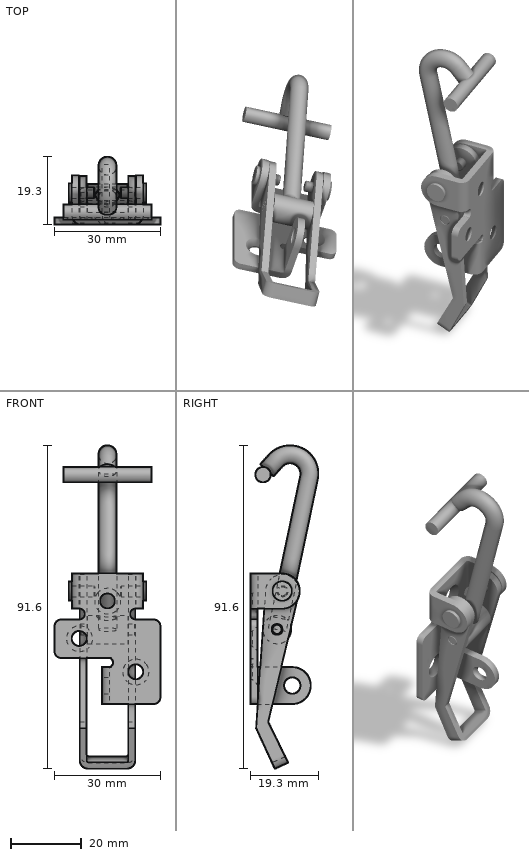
import cadquery as cq
import math


sheet = 2.0
bend_inner = 0.55
bend_outer = bend_inner + sheet

plate_half_width = 15.0
bracket_height = 37.0
wing_top = 24.0
wing_bottom = 13.0
plate_corner = 2.0
neck_half_width = 10.1
ear_height = 10.0
pivot_y = 9.0
relief_depth_x = 6.4
tab_left = -1.6
tab_height = 10.5
tab_hole_y = 11.8
tab_hole_radius = 2.3
tab_relief_end = 1.6
mount_hole_radius = 2.1
mount_hole_land = 0.5
mount_holes = [(0, 29.2), (-8.0, 18.6), (8.0, 9.2)]

ear_radius = ear_height / 2
ear_bottom = bracket_height - ear_height
pivot_z = bracket_height - ear_radius

lever_half_width = 7.9
lever_inner_half = lever_half_width - sheet
lever_head_radius = 4.8
knee_front = (1.6, -6.8)
knee_back = (5.0, -5.0)
lever_tip = (6.9, -18.3)
grip_width = 4.2

rivet_head_radius = 2.75
rivet_half_span = 11.0
shank_radius = 1.6
shank_end = 3.7
shank_chamfer = 0.3

trunnion_y = 7.5
trunnion_z = 21.2
trunnion_radius = 4.0
barrel_half = 5.7
countersink_radius = 3.3

rod_radius = 2.6
hook_bend_radius = 5.5
hook_center_y = 11.2
hook_center_z = 65.2
hook_end_angle = math.radians(42)
hook_tip_length = 3.7
crossbar_gap = 1.65
crossbar_radius = 2.2
crossbar_length = 25.0


def x_cylinder(x_start, x_end, y, z, radius):
    """Cylinder along X, centred on (y, z)."""
    return cq.Workplane("YZ", origin=(x_start, y, z)).circle(radius).extrude(x_end - x_start)


def plate_block(x_start, x_end, z_start, z_end):
    """Block as thick as the plate, standing on the mounting face."""
    return cq.Workplane("XY").box(x_end - x_start, sheet, z_end - z_start, centered=False).translate(
        (x_start, 0, z_start)
    )


def relief_slot(x_outer, x_end, z_start, z_end):
    """Bend relief through the plate, round at x_end and open at x_outer."""
    radius = (z_end - z_start) / 2
    round_x = x_end + math.copysign(radius, x_outer - x_end)
    slot = plate_block(min(x_outer, round_x), max(x_outer, round_x), z_start, z_end)
    round_end = cq.Workplane("XZ", origin=(round_x, 0, z_start + radius)).circle(radius).extrude(-sheet)
    return slot.union(round_end)


def flange(outer_x, side, eye_y, z_start, z_end):
    """Flange bent back from the plate along its outer_x edge, with a full-round end."""
    half_height = (z_end - z_start) / 2
    bend_x = outer_x - side * bend_outer
    height = z_end - z_start
    bend = (
        cq.Workplane("XY", origin=(bend_x, bend_outer, z_start))
        .circle(bend_outer)
        .circle(bend_inner)
        .extrude(height)
    )
    quarter = cq.Workplane("XY").box(bend_outer, bend_outer, height, centered=False).translate(
        (min(bend_x, outer_x), 0, z_start)
    )
    wall = cq.Workplane("XY").box(sheet, eye_y - bend_outer, height, centered=False).translate(
        (min(outer_x, outer_x - side * sheet), bend_outer, z_start)
    )
    round_end = x_cylinder(outer_x - side * sheet, outer_x, eye_y, z_start + half_height, half_height)
    return bend.intersect(quarter).union(wall).union(round_end)


def countersunk_hole(x, z):
    """Mounting hole with a 90 degree countersink on the inner face of the plate."""
    cone_depth = sheet - mount_hole_land
    profile = (
        cq.Workplane("XY")
        .lineTo(mount_hole_radius, 0)
        .lineTo(mount_hole_radius, mount_hole_land)
        .lineTo(mount_hole_radius + cone_depth, sheet)
        .lineTo(0, sheet)
        .close()
    )
    return profile.revolve(360, (0, 0, 0), (0, 1, 0)).translate((x, 0, z))


def build_bracket():
    wings = plate_block(-plate_half_width, plate_half_width, wing_bottom, wing_top)
    lower_leg = plate_block(tab_left + bend_outer, plate_half_width, 0, wing_top)
    bend_line_x = neck_half_width - bend_outer
    neck = plate_block(-bend_line_x, bend_line_x, wing_bottom, bracket_height)
    bracket = wings.union(lower_leg).union(neck)

    left_corners = bracket.edges("|Y").edges("<X")
    bracket = left_corners.fillet(plate_corner)
    right_corners = bracket.edges("|Y").edges(">X")
    bracket = right_corners.fillet(plate_corner)

    for side in (-1, 1):
        bracket = bracket.cut(relief_slot(side * neck_half_width, side * relief_depth_x, wing_top, ear_bottom))
        bracket = bracket.union(flange(side * neck_half_width, side, pivot_y, ear_bottom, bracket_height))
        rivet_x = side * neck_half_width
        bracket = bracket.cut(x_cylinder(rivet_x, rivet_x - side * sheet, pivot_y, pivot_z, shank_radius))

    bracket = bracket.cut(relief_slot(tab_left, tab_relief_end, tab_height, wing_bottom))
    bracket = bracket.union(flange(tab_left, -1, tab_hole_y, 0, tab_height))
    bracket = bracket.cut(x_cylinder(tab_left, tab_left + sheet, tab_hole_y, tab_height / 2, tab_hole_radius))

    for x, z in mount_holes:
        bracket = bracket.cut(countersunk_hole(x, z))
    return bracket


def tangent_point(point, side):
    """Where the line from point touches the lever head; side picks one of the two tangents."""
    dy = point[0] - pivot_y
    dz = point[1] - pivot_z
    angle = math.atan2(dz, dy) + side * math.acos(lever_head_radius / math.hypot(dy, dz))
    return (
        pivot_y + lever_head_radius * math.cos(angle),
        pivot_z + lever_head_radius * math.sin(angle),
    )


def build_lever():
    grip_dy = lever_tip[0] - knee_front[0]
    grip_dz = lever_tip[1] - knee_front[1]
    grip_length = math.hypot(grip_dy, grip_dz)
    along = (grip_dy / grip_length, grip_dz / grip_length)
    tip_back = (lever_tip[0] - along[1] * grip_width, lever_tip[1] + along[0] * grip_width)

    side_outline = (
        cq.Workplane("YZ", origin=(-lever_half_width, 0, 0))
        .moveTo(*tangent_point(knee_back, 1))
        .lineTo(*knee_back)
        .lineTo(*tip_back)
        .lineTo(*lever_tip)
        .lineTo(*knee_front)
        .lineTo(*tangent_point(knee_front, -1))
        .threePointArc((pivot_y, pivot_z + lever_head_radius), tangent_point(knee_back, 1))
        .close()
        .extrude(2 * lever_half_width)
    )

    u_length = bracket_height - lever_tip[1]
    grip_plane = cq.Plane(origin=(0, *lever_tip), xDir=(1, 0, 0), normal=(0, -along[1], along[0]))
    u_outside = u_block(grip_plane, lever_half_width, 0, u_length, bend_outer)
    u_inside = u_block(grip_plane, lever_inner_half, sheet, u_length, bend_inner)
    lever = side_outline.intersect(u_outside).cut(u_inside)

    shank = x_cylinder(-lever_half_width, lever_half_width, pivot_y, pivot_z, shank_radius)
    pin_bore = x_cylinder(-lever_half_width, lever_half_width, trunnion_y, trunnion_z, shank_radius)
    return lever.cut(shank).cut(pin_bore)


def u_block(plane, half_width, start, end, corner_radius):
    """Block along the grip from start to end, its two corners at the tip end rounded."""
    corner_y = -start - corner_radius
    return (
        cq.Workplane(plane)
        .moveTo(-half_width, -end)
        .lineTo(half_width, -end)
        .lineTo(half_width, corner_y)
        .radiusArc((half_width - corner_radius, -start), -corner_radius)
        .lineTo(corner_radius - half_width, -start)
        .radiusArc((-half_width, corner_y), -corner_radius)
        .close()
        .extrude(end, both=True)
    )


def build_rivet(side):
    """Headed rivet through one bracket ear and one lever arm."""
    head = x_cylinder(side * neck_half_width, side * rivet_half_span, pivot_y, pivot_z, rivet_head_radius)
    shank = x_cylinder(side * neck_half_width, side * shank_end, pivot_y, pivot_z, shank_radius)
    inner_end = "<X" if side > 0 else ">X"
    return head.union(shank.faces(inner_end).chamfer(shank_chamfer))


center_dy = hook_center_y - trunnion_y
center_dz = hook_center_z - trunnion_z
center_distance = math.hypot(center_dy, center_dz)
rod_tilt = math.atan2(center_dy, center_dz) + math.asin(hook_bend_radius / center_distance)
rod_plane = cq.Plane(
    origin=(0, trunnion_y, trunnion_z),
    xDir=(1, 0, 0),
    normal=(0, math.sin(rod_tilt), math.cos(rod_tilt)),
)


def build_trunnion():
    barrel = x_cylinder(-barrel_half, barrel_half, trunnion_y, trunnion_z, trunnion_radius)
    pins = x_cylinder(-lever_half_width, lever_half_width, trunnion_y, trunnion_z, shank_radius)
    trunnion = barrel.union(pins.faces("<X or >X").chamfer(shank_chamfer))
    bore = cq.Workplane(rod_plane).circle(rod_radius).extrude(trunnion_radius)
    cone_depth = countersink_radius - rod_radius
    countersink = (
        cq.Workplane(rod_plane)
        .workplane(offset=trunnion_radius - cone_depth)
        .circle(rod_radius)
        .workplane(offset=cone_depth)
        .circle(countersink_radius)
        .loft()
    )
    return trunnion.cut(bore).cut(countersink)


def bend_point(angle):
    """Point of the hook centreline at angle above the -Y direction."""
    return (
        hook_center_y - hook_bend_radius * math.cos(angle),
        hook_center_z + hook_bend_radius * math.sin(angle),
    )


def build_hook():
    bend_start = bend_point(math.pi + rod_tilt)
    bend_end = bend_point(hook_end_angle)
    tip_dy = -math.sin(hook_end_angle)
    tip_dz = -math.cos(hook_end_angle)
    tip_end = (bend_end[0] + hook_tip_length * tip_dy, bend_end[1] + hook_tip_length * tip_dz)
    centreline = (
        cq.Workplane("YZ")
        .moveTo(trunnion_y, trunnion_z)
        .lineTo(*bend_start)
        .threePointArc(bend_point(math.pi / 2), bend_end)
        .lineTo(*tip_end)
    )
    rod = cq.Workplane(rod_plane).circle(rod_radius).sweep(centreline)
    crossbar_y = tip_end[0] + crossbar_gap * tip_dy
    crossbar_z = tip_end[1] + crossbar_gap * tip_dz
    half_bar = crossbar_length / 2
    return rod.union(x_cylinder(-half_bar, half_bar, crossbar_y, crossbar_z, crossbar_radius))


bracket = build_bracket()
lever = build_lever()
rivets = [build_rivet(side) for side in (-1, 1)]
trunnion = build_trunnion()
hook = build_hook()

result = cq.Compound.makeCompound(
    [bracket.val(), lever.val(), *[rivet.val() for rivet in rivets], trunnion.val(), hook.val()]
)